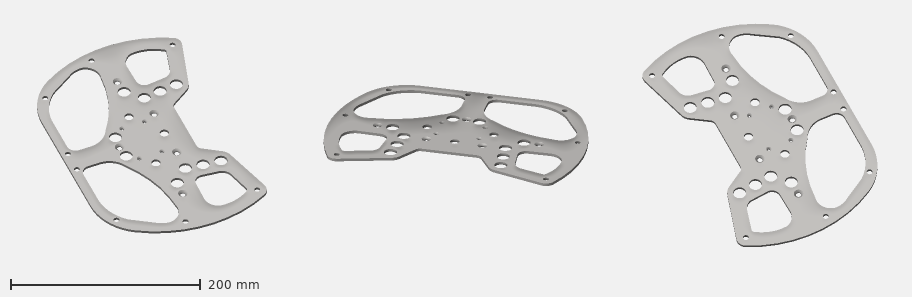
import cadquery as cq
import math

width = 278.5
height = 180.5
thickness = 3.0

rim_radius = 148.7
rim_center = (rim_radius - width / 2, 107.0)
bottom_corner_x = -65.5
horn_start = (-122.5, 175.5)
horn_top = (-114.1, height)
horn_end = (-111.0, 180.0)
shoulder_start = (-55.5, 164.0)
shoulder_middle = (-51.5, 162.0)
shoulder_end = (-48.7, 159.2)
notch_start = (-36.2, 140.3)
notch_middle = (-33.7, 137.5)
notch_end = (-30.0, 136.5)

rim_hole_diameter = 6.0
rim_holes = [(-113.5, 170.5), (-126.0, 83.0), (-95.5, 17.0), (-12.0, 7.2)]
button_hole_diameter = 13.6
button_holes = [(-59.9, 151.7), (-57.5, 132.2), (-55.0, 113.0), (-71.3, 97.0), (-14.5, 62.5)]
hub_hole_diameter = 9.7
hub_holes = [(0, 112.5), (-36.2, 87.5)]
screw_hole_diameter = 5.5
screw_head_diameter = 10.0
screw_holes = [(-30.3, 114.0), (-87.7, 96.3), (0, 61.2)]
small_screw_diameter = 2.7
small_screw_head_diameter = 5.5
small_screw_holes = [(-23.5, 100.0), (-23.5, 74.0)]
countersink_angle = 90


def both_sides(points):
    """Return the points together with their mirror images across X = 0."""
    return points + [(-x, y) for x, y in points if x != 0]


def on_circle(center, radius, angle):
    """Return the point of a circle at an angle in radians."""
    return (center[0] + radius * math.cos(angle), center[1] + radius * math.sin(angle))


def plate():
    dx = bottom_corner_x - rim_center[0]
    corner_radius = (rim_radius**2 - dx**2 - rim_center[1] ** 2) / (2 * (rim_radius - rim_center[1]))
    corner_center = (bottom_corner_x, corner_radius)
    join_angle = math.atan2(corner_radius - rim_center[1], dx)
    join = on_circle(rim_center, rim_radius, join_angle)
    corner_middle = on_circle(corner_center, corner_radius, (join_angle - math.pi / 2) / 2)
    half = (
        cq.Workplane("XY")
        .moveTo(0, 0)
        .lineTo(bottom_corner_x, 0)
        .threePointArc(corner_middle, join)
        .threePointArc((-width / 2, rim_center[1]), horn_start)
        .threePointArc(horn_top, horn_end)
        .lineTo(*shoulder_start)
        .threePointArc(shoulder_middle, shoulder_end)
        .lineTo(*notch_start)
        .threePointArc(notch_middle, notch_end)
        .lineTo(0, notch_end[1])
        .close()
        .extrude(thickness)
    )
    return half.union(half.mirror("YZ"))


def upper_window():
    """Left thumb window, between the horn and the button holes."""
    return (
        cq.Workplane("XY")
        .moveTo(-107.0, 160.5)
        .lineTo(-82.0, 154.0)
        .threePointArc((-76.8, 151.0), (-73.5, 145.5))
        .lineTo(-71.0, 123.5)
        .threePointArc((-73.5, 117.5), (-80.2, 114.5))
        .lineTo(-102.5, 114.0)
        .threePointArc((-114.1, 117.5), (-119.5, 125.3))
        .threePointArc((-118.5, 142.0), (-111.0, 159.0))
        .threePointArc((-109.5, 160.5), (-107.0, 160.5))
        .close()
        .extrude(thickness)
    )


def lower_window():
    """Left grip window, between the rim and the bottom spoke."""
    return (
        cq.Workplane("XY")
        .moveTo(-100.0, 82.7)
        .threePointArc((-61.2, 75.0), (-27.8, 57.0))
        .threePointArc((-16.1, 46.5), (-12.5, 34.5))
        .lineTo(-12.5, 20.3)
        .threePointArc((-15.3, 13.5), (-22.3, 10.5))
        .lineTo(-63.0, 10.5)
        .threePointArc((-85.0, 16.7), (-99.7, 28.5))
        .lineTo(-115.3, 53.0)
        .threePointArc((-119.5, 60.7), (-120.5, 69.5))
        .threePointArc((-114.7, 79.3), (-100.0, 82.7))
        .close()
        .extrude(thickness)
    )


def drill(body, points, diameter):
    return body.faces(">Z").workplane(origin=(0, 0, 0)).pushPoints(both_sides(points)).hole(diameter)


def countersink(body, points, diameter, head_diameter):
    top = body.faces(">Z").workplane(origin=(0, 0, 0))
    return top.pushPoints(both_sides(points)).cskHole(diameter, head_diameter, countersink_angle)


result = plate()
for window in (upper_window(), lower_window()):
    result = result.cut(window).cut(window.mirror("YZ"))
result = drill(result, rim_holes, rim_hole_diameter)
result = drill(result, button_holes, button_hole_diameter)
result = drill(result, hub_holes, hub_hole_diameter)
result = countersink(result, screw_holes, screw_hole_diameter, screw_head_diameter)
result = countersink(result, small_screw_holes, small_screw_diameter, small_screw_head_diameter)